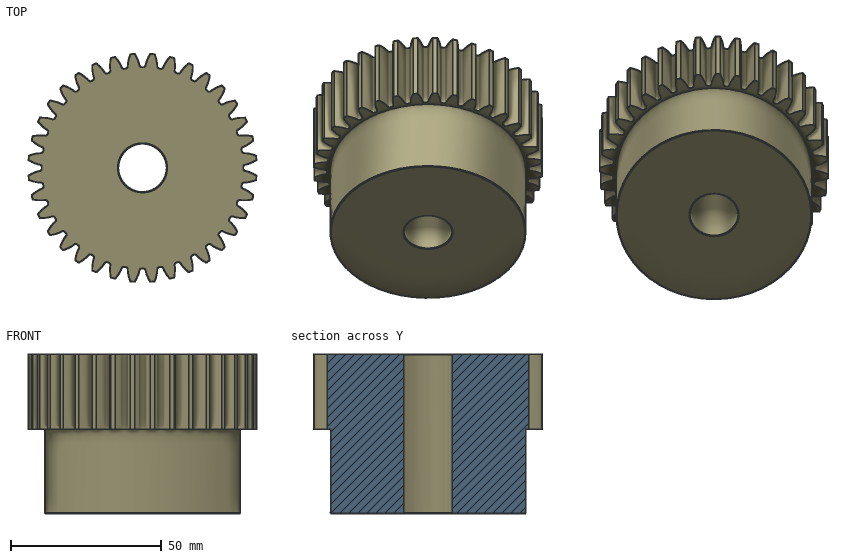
import cadquery as cq
import math


tooth_count = 36
overall_width = 75.8
pressure_angle = math.radians(20)
addendum_ratio = 1.0
dedendum_ratio = 1.25
root_fillet = 0.75
flank_samples = 8

gear_width = 25.0
hub_length = 28.0

hub_diameter = 65.0
bore_diameter = 16.0
edge_chamfer = 0.2

total_height = hub_length + gear_width


def involute_angle(roll):
    """Polar angle that an involute has swept at a roll angle."""
    return roll - math.atan(roll)


def roll_at(radius_ratio):
    """Roll angle at a radius given as a multiple of the base radius."""
    return math.sqrt(radius_ratio ** 2 - 1)


tooth_pitch = 2 * math.pi / tooth_count
half_tooth_at_base = tooth_pitch / 4 + involute_angle(math.tan(pressure_angle))
tip_to_pitch_ratio = 1 + 2 * addendum_ratio / tooth_count
tip_roll = roll_at(tip_to_pitch_ratio / math.cos(pressure_angle))
half_tooth_at_tip = half_tooth_at_base - involute_angle(tip_roll)

first_tooth_angle = tooth_pitch / 2
tip_radius = overall_width / 2 / math.cos(first_tooth_angle - half_tooth_at_tip)
pitch_radius = tip_radius / tip_to_pitch_ratio
module = 2 * pitch_radius / tooth_count
root_radius = pitch_radius - dedendum_ratio * module
base_radius = pitch_radius * math.cos(pressure_angle)

fillet_centre_radius = root_radius + root_fillet
centre_roll = roll_at(fillet_centre_radius / base_radius)
fillet_roll = root_fillet / base_radius
start_roll = centre_roll - fillet_roll
fillet_centre_angle = half_tooth_at_base + fillet_roll - involute_angle(centre_roll)


def polar(radius, angle):
    return (radius * math.cos(angle), radius * math.sin(angle))


def flank_points(centre_angle, side):
    """Flank from its root fillet to the tip; side is -1 or +1."""
    points = []
    for i in range(flank_samples + 1):
        roll = start_roll + (tip_roll - start_roll) * i / flank_samples
        radius = base_radius * math.hypot(1, roll)
        angle = half_tooth_at_base - involute_angle(roll)
        points.append(polar(radius, centre_angle + side * angle))
    return points


def fillet_points(centre_angle, side):
    """Middle of the root fillet and its end on the root circle."""
    angle = centre_angle + side * fillet_centre_angle
    centre = polar(fillet_centre_radius, angle)
    root_end = polar(root_radius, angle)
    flank_end = flank_points(centre_angle, side)[0]
    toward_middle = (
        root_end[0] + flank_end[0] - 2 * centre[0],
        root_end[1] + flank_end[1] - 2 * centre[1],
    )
    scale = root_fillet / math.hypot(*toward_middle)
    middle = (centre[0] + scale * toward_middle[0], centre[1] + scale * toward_middle[1])
    return middle, root_end


def make_gear():
    _, start = fillet_points(first_tooth_angle, -1)
    outline = cq.Workplane("XY").workplane(offset=hub_length).moveTo(*start)
    for i in range(tooth_count):
        centre_angle = first_tooth_angle + i * tooth_pitch
        rising = flank_points(centre_angle, -1)
        falling = flank_points(centre_angle, 1)[::-1]
        rising_fillet, _ = fillet_points(centre_angle, -1)
        falling_fillet, root_end = fillet_points(centre_angle, 1)
        space_middle = polar(root_radius, centre_angle + tooth_pitch / 2)
        _, next_start = fillet_points(centre_angle + tooth_pitch, -1)
        outline = (
            outline.threePointArc(rising_fillet, rising[0])
            .spline(rising[1:], includeCurrent=True)
            .threePointArc(polar(tip_radius, centre_angle), falling[0])
            .spline(falling[1:], includeCurrent=True)
            .threePointArc(falling_fillet, root_end)
            .threePointArc(space_middle, next_start)
        )
    return outline.close().extrude(gear_width)


def make_hub():
    hub = cq.Workplane("XY").circle(hub_diameter / 2).extrude(hub_length)
    return hub.faces("<Z").edges().chamfer(edge_chamfer)


def make_bore():
    """Cutter for the bore, widened at both ends by its chamfers."""
    bore_radius = bore_diameter / 2
    mouth_radius = bore_radius + edge_chamfer
    profile = [
        (0, 0),
        (mouth_radius, 0),
        (bore_radius, edge_chamfer),
        (bore_radius, total_height - edge_chamfer),
        (mouth_radius, total_height),
        (0, total_height),
    ]
    return cq.Workplane("XZ").polyline(profile).close().revolve(360, (0, 0, 0), (0, 1, 0))


result = make_gear().union(make_hub()).cut(make_bore())